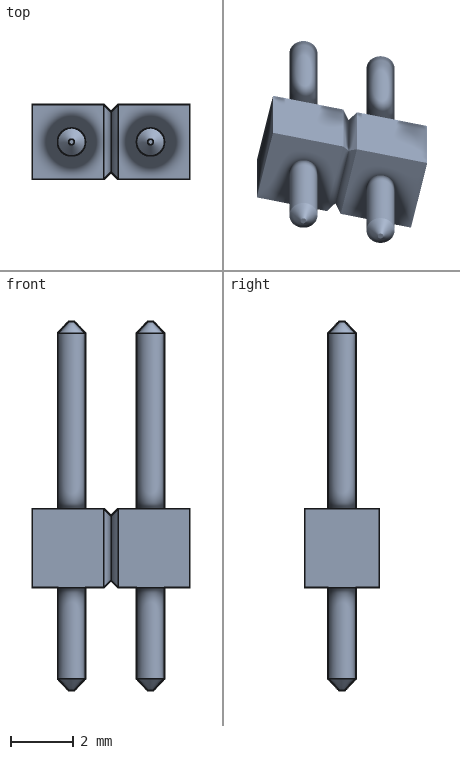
import cadquery as cq

pin_count = 2
pitch = 2.54
housing_depth = 2.41
housing_height = 2.54
groove_depth = 0.23

pin_diameter = 0.9
tip_diameter = 0.18
tip_length = 0.38
pin_length = 11.88
tail_length = 3.31

pin_radius = pin_diameter / 2
tip_radius = tip_diameter / 2
pin_places = [((i - (pin_count - 1) / 2) * pitch, 0) for i in range(pin_count)]


def make_cell(x, y, groove_left, groove_right):
    """One housing cell, bevelled on the end faces that adjoin another cell."""
    cell = cq.Workplane("XY").box(pitch, housing_depth, housing_height)
    if groove_left:
        cell = cell.faces("<X").chamfer(groove_depth)
    if groove_right:
        cell = cell.faces(">X").chamfer(groove_depth)
    return cell.translate((x, y, housing_height / 2))


def make_housing():
    """Cells joined in a row, with a round hole through each for its pin."""
    housing = cq.Workplane("XY")
    for i, (x, y) in enumerate(pin_places):
        housing = housing.add(make_cell(x, y, i > 0, i < pin_count - 1))
    housing = housing.combine()
    holes = cq.Workplane("XY").pushPoints(pin_places).circle(pin_radius).extrude(housing_height)
    return housing.cut(holes)


def make_pin(x, y):
    """A round pin with a blunt cone at each end."""
    profile = [
        (0, 0),
        (tip_radius, 0),
        (pin_radius, tip_length),
        (pin_radius, pin_length - tip_length),
        (tip_radius, pin_length),
        (0, pin_length),
    ]
    pin = cq.Workplane("XZ").polyline(profile).close().revolve(360, (0, 0), (0, 1))
    return pin.translate((x, y, -tail_length))


housing = make_housing()
pins = [make_pin(x, y) for x, y in pin_places]

result = cq.Compound.makeCompound([housing.val(), *[pin.val() for pin in pins]])